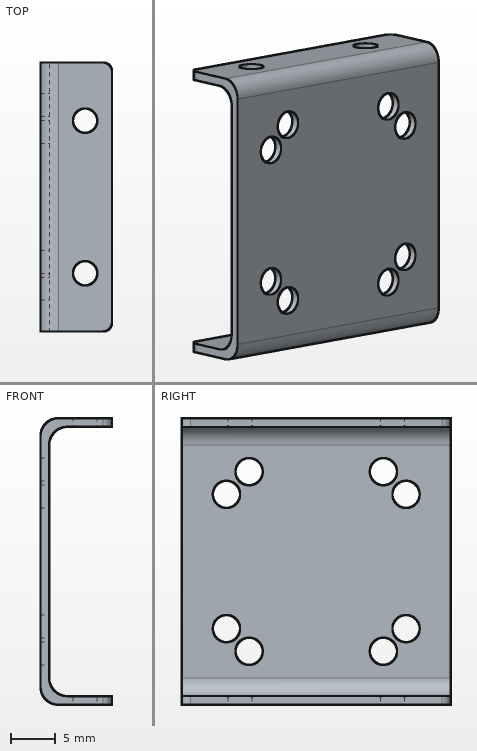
import cadquery as cq

depth = 8.0
width = 30.0
height = 32.0

sheet = 1.0
outer_bend_radius = 2.0
inner_bend_radius = 2.0
flange_corner_radius = 1.0

web_hole_diameter = 3.0
web_hole_near = 7.5
web_hole_far = 10.0

flange_hole_diameter = 2.7
flange_hole_from_web_face = 5.0
flange_hole_spacing = 17.02


def channel():
    """U-shaped channel opening toward +X, outer web face at X = 0."""
    outer = cq.Workplane("XY").box(depth, width, height, centered=(False, True, True))
    outer = outer.edges("|Y and <X").fillet(outer_bend_radius)
    inner = (
        cq.Workplane("XY")
        .box(depth, width, height - 2 * sheet, centered=(False, True, True))
        .edges("|Y and <X")
        .fillet(inner_bend_radius)
        .translate((sheet, 0, 0))
    )
    return outer.cut(inner)


def web_holes():
    """Cutters for the eight holes through the web."""
    centers = []
    for y_side in (-1, 1):
        for z_side in (-1, 1):
            centers.append((y_side * web_hole_near, z_side * web_hole_far))
            centers.append((y_side * web_hole_far, z_side * web_hole_near))
    return cq.Workplane("YZ").pushPoints(centers).circle(web_hole_diameter / 2).extrude(sheet)


def flange_holes():
    """Cutters running the full height, through both flanges."""
    centers = [(flange_hole_from_web_face, side * flange_hole_spacing / 2) for side in (-1, 1)]
    return (
        cq.Workplane("XY")
        .pushPoints(centers)
        .circle(flange_hole_diameter / 2)
        .extrude(height / 2, both=True)
    )


bracket = channel().edges("|Z and >X").fillet(flange_corner_radius)
result = bracket.cut(web_holes()).cut(flange_holes())